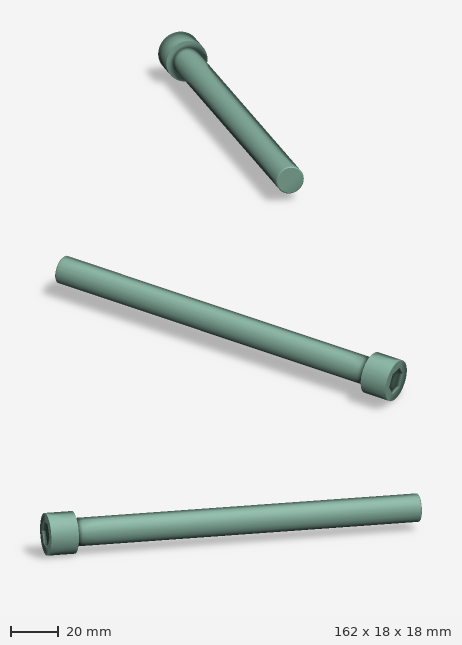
import cadquery as cq
import math

total_length = 162.0
shank_diameter = 12.0
head_diameter = 18.0
head_length = shank_diameter
socket_across_flats = 10.0
socket_depth = 1.5
tip_chamfer = 0.4

head_face_x = -total_length / 2
shank_length = total_length - head_length


def plane_at(x):
    """YZ plane facing +X at the given X."""
    return cq.Workplane("YZ", origin=(x, 0, 0))


head = plane_at(head_face_x).circle(head_diameter / 2).extrude(head_length)

shank = (
    plane_at(head_face_x + head_length)
    .circle(shank_diameter / 2)
    .extrude(shank_length)
    .faces(">X")
    .chamfer(tip_chamfer)
)

socket_across_corners = socket_across_flats / math.cos(math.pi / 6)
socket = plane_at(head_face_x).polygon(6, socket_across_corners).extrude(socket_depth)

result = head.union(shank).cut(socket)